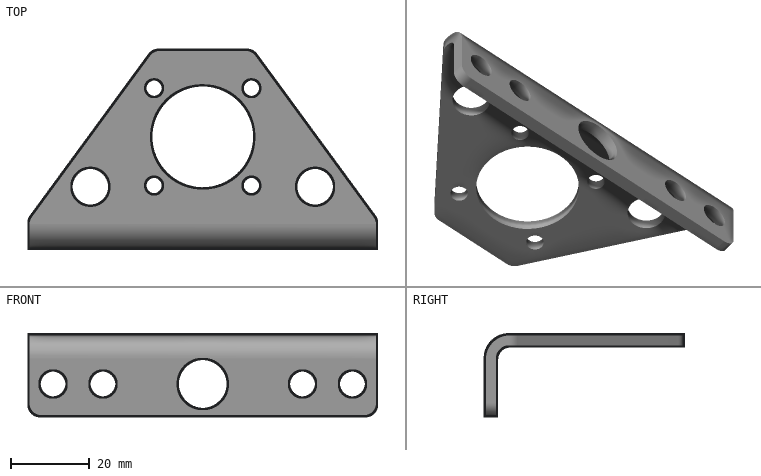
import cadquery as cq

width = 88.9
depth = 50.8
height = 21.0
thickness = 3.2
bend_radius = 6.3
corner_radius = 3.2

rear_half_width = 12.7
taper_start_y = 7.5

bore_diameter = 26.2
bore_y = 28.5
screw_diameter = 4.45
screw_spacing = 24.8
side_hole_diameter = 9.6
side_hole_x = 28.6
side_hole_y = 15.8

flange_hole_drop = 12.7
flange_hole_z = height - flange_hole_drop
flange_bore_diameter = 12.7
flange_hole_diameter = 6.85
flange_hole_inner_x = 25.4
flange_hole_outer_x = 38.1


def bent_sheet():
    """L-shaped sheet of constant thickness, extruded along X."""
    outer = (
        cq.Workplane("YZ")
        .rect(depth, height, centered=False)
        .extrude(width / 2, both=True)
        .edges("|X and <Y and >Z")
        .fillet(bend_radius)
    )
    inner = (
        cq.Workplane("YZ")
        .center(thickness, 0)
        .rect(depth, height - thickness, centered=False)
        .extrude(width / 2, both=True)
        .edges("|X and <Y and >Z")
        .fillet(bend_radius - thickness)
    )
    return outer.cut(inner)


def plate_outline():
    """Upright prism of the tapered plate with rounded taper corners."""
    half_width = width / 2
    return (
        cq.Workplane("XY")
        .moveTo(-half_width, 0)
        .lineTo(half_width, 0)
        .lineTo(half_width, taper_start_y)
        .lineTo(rear_half_width, depth)
        .lineTo(-rear_half_width, depth)
        .lineTo(-half_width, taper_start_y)
        .close()
        .extrude(height)
        .edges("|Z and (not <Y)")
        .fillet(corner_radius)
    )


def plate_holes():
    """Cutters for the large bore, its four screws and the two side holes."""
    bore = cq.Workplane("XY").center(0, bore_y).circle(bore_diameter / 2).extrude(height)
    screws = (
        cq.Workplane("XY")
        .center(0, bore_y)
        .rect(screw_spacing, screw_spacing, forConstruction=True)
        .vertices()
        .circle(screw_diameter / 2)
        .extrude(height)
    )
    side_holes = (
        cq.Workplane("XY")
        .pushPoints([(side * side_hole_x, side_hole_y) for side in (-1, 1)])
        .circle(side_hole_diameter / 2)
        .extrude(height)
    )
    return bore.union(screws).union(side_holes)


def flange_holes():
    """Cutters for the central hole and the row of small holes in the flange."""
    bore = (
        cq.Workplane("XZ")
        .center(0, flange_hole_z)
        .circle(flange_bore_diameter / 2)
        .extrude(-thickness)
    )
    row = [
        (side * x, flange_hole_z)
        for side in (-1, 1)
        for x in (flange_hole_inner_x, flange_hole_outer_x)
    ]
    small_holes = (
        cq.Workplane("XZ")
        .pushPoints(row)
        .circle(flange_hole_diameter / 2)
        .extrude(-thickness)
    )
    return bore.union(small_holes)


bracket = bent_sheet().intersect(plate_outline())
bracket = bracket.edges("|Y and <Z").fillet(corner_radius)
result = bracket.cut(plate_holes()).cut(flange_holes())